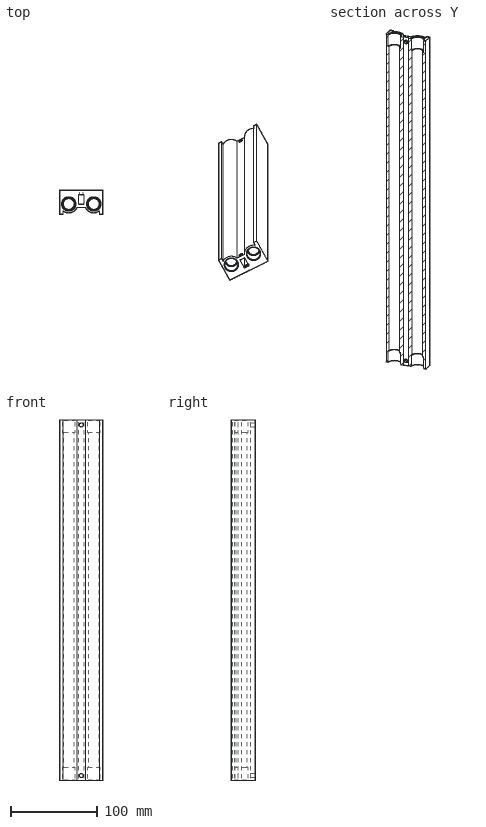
import cadquery as cq
import math

WIDTH = 50.0
DEPTH = 28.0
LENGTH = 418.0

BACK_Y = DEPTH / 2
FRONT_Y = -DEPTH / 2

BORE_X = 14.5
BORE_Y = BACK_Y - 16.0
LOBE_RADIUS = 10.5
BORE_DIAMETER = 12.5
PORT_DIAMETER = 15.0
PORT_DEPTH = 15.0
PORT_CHAMFER = 0.85

LEG_WIDTH = 4.0
VALLEY_Y = BACK_Y - 20.2

CHANNEL_WIDTH = 6.0
CHANNEL_BACK_Y = BACK_Y - 5.4
CHANNEL_FRONT_Y = BACK_Y - 16.3

MOUNT_DIAMETER = 4.5
MOUNT_END_DISTANCE = 6.0


def make_profile_body():
    """Extrude the outer section: back block, two legs, two lobes and the valley."""
    half_width = WIDTH / 2
    leg_x = half_width - LEG_WIDTH
    leg_y = BORE_Y - math.sqrt(LOBE_RADIUS**2 - (leg_x - BORE_X) ** 2)
    valley_x = BORE_X - math.sqrt(LOBE_RADIUS**2 - (BORE_Y - VALLEY_Y) ** 2)
    lobe_y = BORE_Y - LOBE_RADIUS
    return (
        cq.Workplane("XY")
        .moveTo(-half_width, BACK_Y)
        .lineTo(-half_width, FRONT_Y)
        .lineTo(-leg_x, FRONT_Y)
        .lineTo(-leg_x, leg_y)
        .threePointArc((-BORE_X, lobe_y), (-valley_x, VALLEY_Y))
        .lineTo(valley_x, VALLEY_Y)
        .threePointArc((BORE_X, lobe_y), (leg_x, leg_y))
        .lineTo(leg_x, FRONT_Y)
        .lineTo(half_width, FRONT_Y)
        .lineTo(half_width, BACK_Y)
        .close()
        .extrude(LENGTH)
    )


def make_bore(x):
    """Stepped bore along Z: through hole with a wider, chamfered port at each end."""
    bore_radius = BORE_DIAMETER / 2
    port_radius = PORT_DIAMETER / 2
    mouth_radius = port_radius + PORT_CHAMFER
    return (
        cq.Workplane("XZ")
        .moveTo(0, 0)
        .lineTo(mouth_radius, 0)
        .lineTo(port_radius, PORT_CHAMFER)
        .lineTo(port_radius, PORT_DEPTH)
        .lineTo(bore_radius, PORT_DEPTH)
        .lineTo(bore_radius, LENGTH - PORT_DEPTH)
        .lineTo(port_radius, LENGTH - PORT_DEPTH)
        .lineTo(port_radius, LENGTH - PORT_CHAMFER)
        .lineTo(mouth_radius, LENGTH)
        .lineTo(0, LENGTH)
        .close()
        .revolve(360, (0, 0, 0), (0, 1, 0))
        .translate((x, BORE_Y, 0))
    )


def make_channel():
    """Rectangular channel running the full length between the bores."""
    return (
        cq.Workplane("XY")
        .center(0, (CHANNEL_BACK_Y + CHANNEL_FRONT_Y) / 2)
        .rect(CHANNEL_WIDTH, CHANNEL_BACK_Y - CHANNEL_FRONT_Y)
        .extrude(LENGTH)
    )


def make_mount_hole(z):
    """Round hole through the whole depth on the centre plane."""
    return (
        cq.Workplane("XZ", origin=(0, BACK_Y, 0))
        .center(0, z)
        .circle(MOUNT_DIAMETER / 2)
        .extrude(DEPTH)
    )


result = make_profile_body().cut(make_channel())
for side in (-1, 1):
    result = result.cut(make_bore(side * BORE_X))
for hole_z in (MOUNT_END_DISTANCE, LENGTH - MOUNT_END_DISTANCE):
    result = result.cut(make_mount_hole(hole_z))